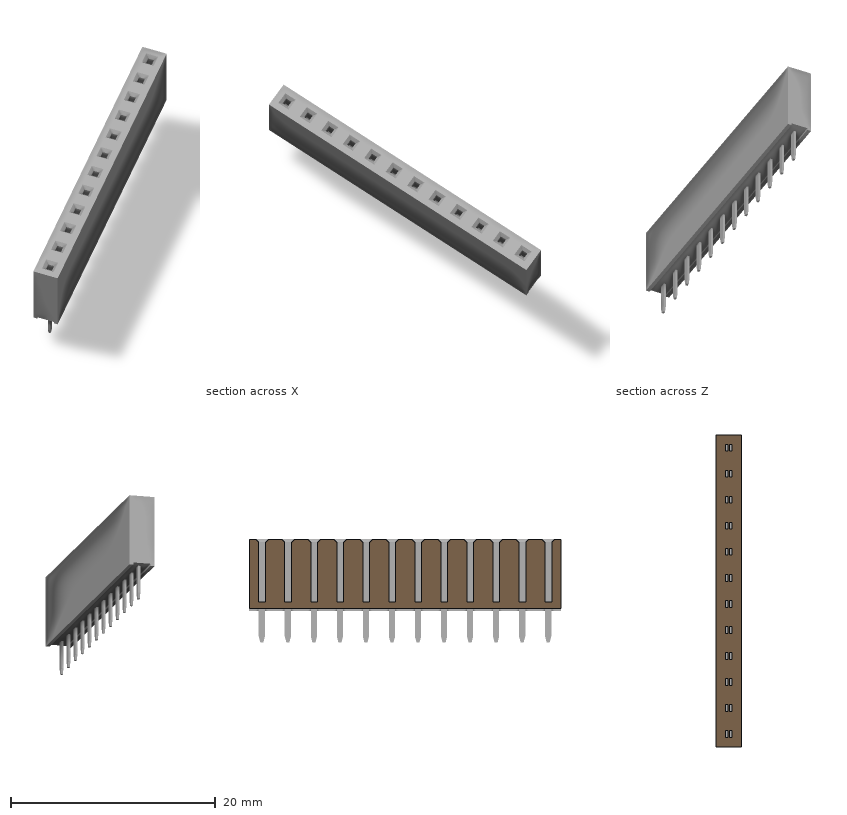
import cadquery as cq

socket_count = 12
housing_length = 30.48
housing_width = 2.53
housing_height = 7.0
pitch = housing_length / socket_count

foot_width = 0.4
foot_height = 0.2

funnel_mouth = 1.22
hole_size = 0.6
hole_depth = 6.1
funnel_depth = (funnel_mouth - hole_size) / 2

pin_length = 3.08
pin_width = hole_size
pin_thickness = 0.2
pin_top_depth = 1.22
tip_width = 0.3
tip_length = 0.58


def make_housing():
    centered = (True, True, False)
    channel_width = housing_width - 2 * foot_width
    housing = cq.Workplane("XY").box(housing_width, housing_length, housing_height, centered=centered)
    channel = cq.Workplane("XY").box(channel_width, housing_length, foot_height, centered=centered)
    return housing.cut(channel)


def make_socket():
    """Solid to remove for the socket at Y = 0."""
    top = cq.Workplane("XY", origin=(0, 0, housing_height))
    funnel = (
        top.rect(funnel_mouth, funnel_mouth)
        .workplane(offset=-funnel_depth)
        .rect(hole_size, hole_size)
        .loft(ruled=True)
    )
    hole = top.rect(hole_size, hole_size).extrude(-hole_depth)
    return funnel.union(hole)


def make_pin():
    """Blade at Y = 0, running from its tip up through the hole floor into the socket."""
    bottom = -pin_length
    shoulder = bottom + tip_length
    top = housing_height - pin_top_depth
    outline = [
        (-tip_width / 2, bottom),
        (tip_width / 2, bottom),
        (pin_width / 2, shoulder),
        (pin_width / 2, top),
        (-pin_width / 2, top),
        (-pin_width / 2, shoulder),
    ]
    return cq.Workplane("YZ").polyline(outline).close().extrude(pin_thickness / 2, both=True)


socket = make_socket()
pin = make_pin()
first_socket_y = (pitch - housing_length) / 2

result = make_housing()
for index in range(socket_count):
    place = (0, first_socket_y + index * pitch, 0)
    result = result.cut(socket.translate(place)).union(pin.translate(place))